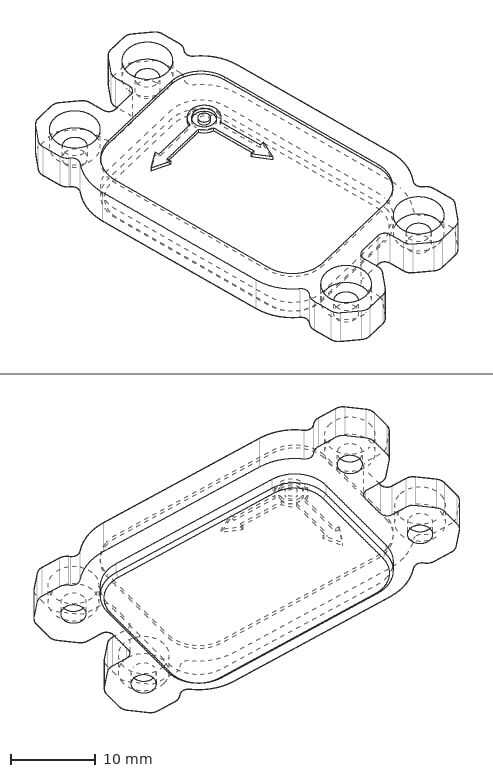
import cadquery as cq
import math

length = 49.6
width = 26.0
height = 7.0

plate_thickness = 5.0
plate_length = 37.0
plate_corner_radius = 7.05
margin = 2.5
recess_depth = 0.5
boss_height = height - plate_thickness
boss_chamfer = 0.45

ear_sides = 8
ear_width = 9.05
ear_corner_radius = 1.5
ear_blend_radius = 1.0
ear_spacing_y = 14.0
screw_hole_diameter = 3.0
counterbore_diameter = 6.0
counterbore_depth = 3.0

mark_x = -9.35
mark_y = 3.85
mark_height = recess_depth
ring_outer_diameter = 4.0
ring_inner_diameter = 3.0
pin_diameter = 1.5
arrow_reach = 10.25
arrow_head_length = 2.35
arrow_head_width = 2.4
arrow_shaft_width = 1.25

recess_floor_z = plate_thickness - recess_depth
inner_length = plate_length - 2 * margin
inner_width = width - 2 * margin
inner_corner_radius = plate_corner_radius - margin

ear_x = (length - ear_width) / 2
ear_y = ear_spacing_y / 2
ear_centers = [(sx * ear_x, sy * ear_y) for sx in (-1, 1) for sy in (-1, 1)]
half_side_angle = math.pi / ear_sides
ear_across_corners = ear_width / math.cos(half_side_angle)

match_tolerance = 0.005


def rounded_block(size_x, size_y, radius, bottom_z, block_height):
    block = cq.Workplane("XY").workplane(offset=bottom_z).rect(size_x, size_y).extrude(block_height)
    return block.edges("|Z").fillet(radius)


def ear(x, y):
    """Octagonal prism with two flats along X and two along Y."""
    octagon = cq.Workplane("XY").polygon(ear_sides, ear_across_corners).extrude(plate_thickness)
    return octagon.rotate((0, 0, 0), (0, 0, 1), math.degrees(half_side_angle)).translate((x, y, 0))


def distance_from_ear(edge):
    """Distance in the XY plane from an edge to the nearest ear center."""
    center = edge.Center()
    return min(math.hypot(center.x - x, center.y - y) for x, y in ear_centers)


def is_ear_corner(edge):
    return abs(distance_from_ear(edge) - ear_across_corners / 2) < match_tolerance


def is_ear_joint(edge):
    """True where an ear runs into the plate, unlike the far-off ends of the plate's own corner arcs."""
    near_ear = distance_from_ear(edge) < ear_across_corners
    return near_ear and not is_ear_corner(edge)


def fillet_upright_edges(solid, is_chosen, radius):
    chosen = [edge for edge in solid.edges("|Z").vals() if is_chosen(edge)]
    return solid.newObject(chosen).fillet(radius)


def blended_plate():
    plate = rounded_block(plate_length, width, plate_corner_radius, 0, plate_thickness)
    for x, y in ear_centers:
        plate = plate.union(ear(x, y))
    plate = fillet_upright_edges(plate, is_ear_joint, ear_blend_radius)
    return fillet_upright_edges(plate, is_ear_corner, ear_corner_radius)


def axis_arrow(angle):
    """Flat arrow that starts at the mark center and points along the given angle."""
    head_base = arrow_reach - arrow_head_length
    shaft_half = arrow_shaft_width / 2
    head_half = arrow_head_width / 2
    outline = [
        (0, -shaft_half),
        (head_base, -shaft_half),
        (head_base, -head_half),
        (arrow_reach, 0),
        (head_base, head_half),
        (head_base, shaft_half),
        (0, shaft_half),
    ]
    arrow = cq.Workplane("XY").polyline(outline).close().extrude(mark_height)
    return arrow.rotate((0, 0, 0), (0, 0, 1), angle)


def axis_mark():
    mark = cq.Workplane("XY").circle(ring_outer_diameter / 2).extrude(mark_height)
    mark = mark.union(axis_arrow(0)).union(axis_arrow(-90))
    mark = mark.cut(cq.Workplane("XY").circle(ring_inner_diameter / 2).extrude(mark_height))
    mark = mark.union(cq.Workplane("XY").circle(pin_diameter / 2).extrude(mark_height))
    return mark.translate((mark_x, mark_y, recess_floor_z))


body = blended_plate()

boss = rounded_block(inner_length, inner_width, inner_corner_radius, -boss_height, boss_height)
body = body.union(boss.faces("<Z").edges().chamfer(boss_chamfer))

body = body.cut(rounded_block(inner_length, inner_width, inner_corner_radius, recess_floor_z, recess_depth))
body = body.union(axis_mark())

top = cq.Workplane("XY").workplane(offset=plate_thickness)
body = body.cut(top.pushPoints(ear_centers).circle(counterbore_diameter / 2).extrude(-counterbore_depth))
body = body.cut(top.pushPoints(ear_centers).circle(screw_hole_diameter / 2).extrude(-plate_thickness))

result = body